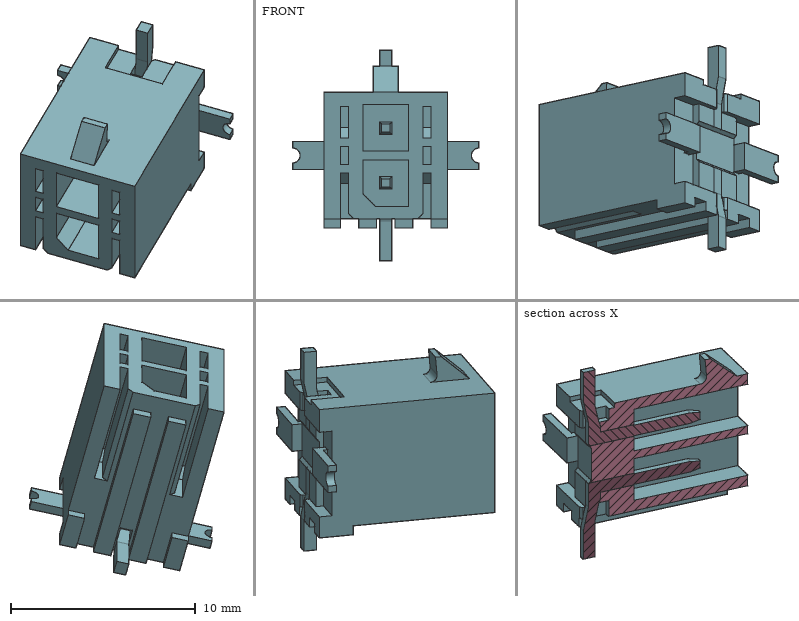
import cadquery as cq
import math


housing_width = 6.7
housing_depth = 9.9
housing_height = 6.85
half_width = housing_width / 2
half_height = housing_height / 2

cavity_offset = 1.5
cavity_width = 2.47
cavity_height = 2.51
cavity_depth = 6.84
key_chamfer = 0.68

slot_width = 0.45
slot_center_x = 2.23
slot_depth = 5.7
middle_slot_height = 0.99
outer_slot_inner_z = 0.96
outer_slot_ramp = 0.55
upper_slot_top = 2.65
skirt_chamfer = 0.27

hook_width = 1.38
hook_height = 1.41
hook_front_y = -9.22
hook_crest_front_y = -7.64
hook_crest_rear_y = -7.31
hook_base_rear_y = -7.43
hook_root_radius = 0.36

standoff = 0.51
foot_width = 0.91
foot_depth = 1.92
rib_width = 0.98
rib_center_x = 0.98
rib_depth = 8.89

contact_offset = 1.48
pin_width = 0.67
pin_tip_width = 0.45
pin_tip_taper = 0.63
pin_tip_y = -7.05
pin_end_z = 5.7
tail_thickness = 0.72
tail_jog = 0.31
jog_drop = 1.39
jog_rear_z = 3.95
jog_front_z = 3.55

notch_top = 2.12
notch_bottom = -2.72
notch_depth = tail_thickness
recess_width = 3.34
recess_length = 1.88
recess_depth = 0.27
tail_slot_length = 1.53
tail_slot_floor = 2.46
tail_slot_chamfer = 0.15

nail_span = 10.09
nail_tip_x = nail_span / 2
nail_thickness = 0.48
nail_height = 1.53
nail_end_radius = 0.4
nail_leg_length = 2.28
nail_leg_inner_x = slot_center_x - slot_width / 2


def box(x_range, y_range, z_range):
    """Box between two limits on each axis."""
    (x0, x1), (y0, y1), (z0, z1) = x_range, y_range, z_range
    return cq.Workplane("XY").box(x1 - x0, y1 - y0, z1 - z0, centered=False).translate((x0, y0, z0))


def centered_box(center_x, width, y_range, z_range):
    """Box given by its centre and width along X."""
    return box((center_x - width / 2, center_x + width / 2), y_range, z_range)


def side_profile(points, center_x, width):
    """Outline of (y, z) points extruded along X about center_x."""
    outline = cq.Workplane("YZ", origin=(center_x, 0, 0)).polyline(points).close()
    return outline.extrude(width / 2, both=True)


def mirrored_z(shape):
    return shape.mirror("XY")


def mirrored_x(shape):
    return shape.mirror("YZ")


def make_pin():
    """Upper contact: square pin with a tapered tip and an upright, jogged tail."""
    pin_top = contact_offset + pin_width / 2
    pin_bottom = contact_offset - pin_width / 2
    taper_base_y = pin_tip_y + pin_tip_taper
    profile = [
        (taper_base_y, pin_bottom),
        (-tail_jog, pin_bottom),
        (-tail_jog, jog_rear_z - jog_drop),
        (0, jog_rear_z),
        (0, pin_end_z),
        (-tail_thickness, pin_end_z),
        (-tail_thickness, jog_front_z),
        (-tail_thickness - tail_jog, jog_front_z - jog_drop),
        (-tail_thickness - tail_jog, pin_top),
        (taper_base_y, pin_top),
    ]
    tip = (
        cq.Workplane("XZ", origin=(0, taper_base_y, contact_offset))
        .rect(pin_width, pin_width)
        .workplane(offset=pin_tip_taper)
        .rect(pin_tip_width, pin_tip_width)
        .loft(ruled=True)
    )
    return side_profile(profile, 0, pin_width).union(tip)


def make_nail():
    """Right-hand nail: solder plate with a half-round end notch and a leg bent forward."""
    z_range = (-nail_height / 2, nail_height / 2)
    plate = box((nail_leg_inner_x, nail_tip_x), (-nail_thickness, 0), z_range)
    leg = centered_box(slot_center_x, slot_width, (-notch_depth - nail_leg_length, 0), z_range)
    end_notch = (
        cq.Workplane("XZ", origin=(nail_tip_x, 0, 0)).circle(nail_end_radius).extrude(nail_thickness)
    )
    return plate.union(leg).cut(end_notch)


def make_hook():
    """Latch hook with a sloped front, a slightly undercut rear and a rounded root."""
    crest_z = half_height + hook_height
    lean = math.atan2(hook_crest_rear_y - hook_base_rear_y, hook_height)
    tangent_length = hook_root_radius / math.tan((math.pi / 2 - lean) / 2)
    arc_top = (
        hook_base_rear_y + tangent_length * math.sin(lean),
        half_height + tangent_length * math.cos(lean),
    )
    arc_end = (hook_base_rear_y + tangent_length, half_height)
    return (
        cq.Workplane("YZ")
        .moveTo(hook_front_y, half_height)
        .lineTo(hook_crest_front_y, crest_z)
        .lineTo(hook_crest_rear_y, crest_z)
        .lineTo(*arc_top)
        .radiusArc(arc_end, -hook_root_radius)
        .close()
        .extrude(hook_width / 2, both=True)
    )


def make_supports():
    """Rear corner feet and the two long ribs under the housing."""
    z_range = (-half_height - standoff, -half_height)
    foot = box((half_width - foot_width, half_width), (-foot_depth, 0), z_range)
    rib = centered_box(rib_center_x, rib_width, (-rib_depth, 0), z_range)
    return [foot, rib, mirrored_x(foot), mirrored_x(rib)]


def make_cavities():
    """Contact cavities open at the mating face; the lower one has a keyed corner."""
    y_range = (-housing_depth, cavity_depth - housing_depth)
    z_range = (cavity_offset - cavity_height / 2, cavity_offset + cavity_height / 2)
    upper = centered_box(0, cavity_width, y_range, z_range)
    lower = mirrored_z(upper).edges("|Y and <X and <Z").chamfer(key_chamfer)
    return [upper, lower]


def outer_slot_profile(outer_z):
    """Side outline of a slot that ends in a 45 degree ramp next to the centre."""
    floor_y = slot_depth - housing_depth
    return [
        (-housing_depth, outer_slot_inner_z),
        (floor_y - outer_slot_ramp, outer_slot_inner_z),
        (floor_y, outer_slot_inner_z + outer_slot_ramp),
        (floor_y, outer_z),
        (-housing_depth, outer_z),
    ]


def make_face_slots():
    """Right-hand column of slots: closed, closed, and open through the underside."""
    y_range = (-housing_depth, slot_depth - housing_depth)
    middle_z_range = (-middle_slot_height / 2, middle_slot_height / 2)
    middle = centered_box(slot_center_x, slot_width, y_range, middle_z_range)
    upper = side_profile(outer_slot_profile(upper_slot_top), slot_center_x, slot_width)
    lower = mirrored_z(side_profile(outer_slot_profile(half_height), slot_center_x, slot_width))
    inner_x = slot_center_x - slot_width / 2
    skirt = (
        cq.Workplane("XZ", origin=(0, y_range[1], 0))
        .moveTo(inner_x, -half_height)
        .lineTo(inner_x - skirt_chamfer, -half_height)
        .lineTo(inner_x, -half_height + skirt_chamfer)
        .close()
        .extrude(slot_depth)
    )
    return [middle, upper, lower, skirt]


def make_rear_notch():
    """Full-width notch across the rear face."""
    return centered_box(0, housing_width, (-notch_depth, 0), (notch_bottom, notch_top))


def make_rear_web():
    """Central web inside the notch, set back further between the two contacts."""
    web_edge_z = contact_offset - pin_width / 2
    dip_z = web_edge_z - (nail_thickness - tail_jog)
    profile = [
        (-notch_depth, notch_bottom),
        (-tail_jog, notch_bottom),
        (-tail_jog, -web_edge_z),
        (-nail_thickness, -dip_z),
        (-nail_thickness, dip_z),
        (-tail_jog, web_edge_z),
        (-tail_jog, notch_top),
        (-notch_depth, notch_top),
    ]
    return side_profile(profile, 0, recess_width)


def make_top_recess():
    """Shallow recess around the upper tail."""
    return centered_box(0, recess_width, (-recess_length, 0), (half_height - recess_depth, half_height))


def make_tail_slot():
    """Upper tail slot with a chamfered mouth, and the channel behind the jogged tail."""
    slot = centered_box(0, pin_width, (-tail_slot_length, 0), (tail_slot_floor, half_height))
    channel_floor = contact_offset - pin_width / 2
    channel = centered_box(0, pin_width, (-tail_jog, 0), (channel_floor, half_height))
    mouth = (
        cq.Workplane("XY", origin=(0, 0, channel_floor))
        .moveTo(-pin_width / 2 - tail_slot_chamfer, 0)
        .lineTo(pin_width / 2 + tail_slot_chamfer, 0)
        .lineTo(pin_width / 2, -tail_slot_chamfer)
        .lineTo(-pin_width / 2, -tail_slot_chamfer)
        .close()
        .extrude(half_height - channel_floor)
    )
    return slot.union(channel).union(mouth)


def make_housing(inserts):
    """Housing with fitted seats for the inserted pins and nails."""
    housing = centered_box(0, housing_width, (-housing_depth, 0), (-half_height, half_height))
    housing = housing.cut(make_rear_notch()).union(make_rear_web()).union(make_hook())
    for support in make_supports():
        housing = housing.union(support)
    for cavity in make_cavities():
        housing = housing.cut(cavity)
    for slot in make_face_slots():
        housing = housing.cut(slot).cut(mirrored_x(slot))
    tail_slot = make_tail_slot()
    housing = housing.cut(make_top_recess()).cut(tail_slot).cut(mirrored_z(tail_slot))
    for insert in inserts:
        housing = housing.cut(insert)
    return housing


upper_pin = make_pin()
pins = [upper_pin, mirrored_z(upper_pin)]
right_nail = make_nail()
nails = [right_nail, mirrored_x(right_nail)]
housing = make_housing(pins + nails)

result = cq.Compound.makeCompound([body.val() for body in [housing, *pins, *nails]])